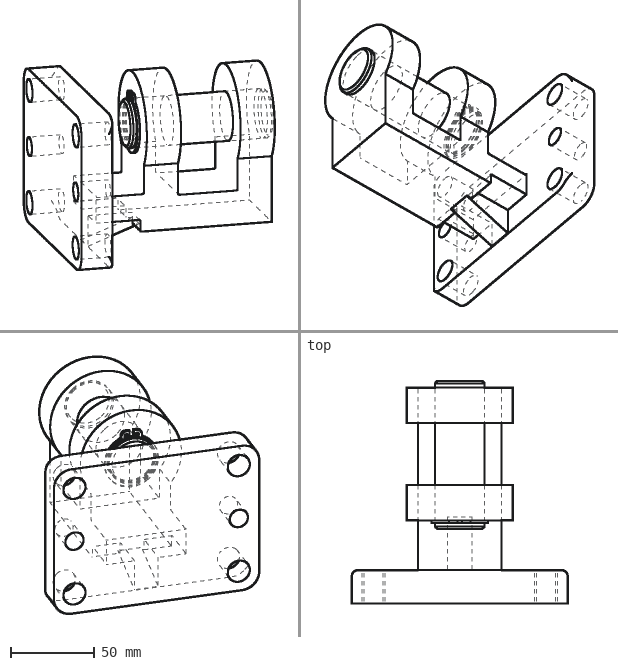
import cadquery as cq
import math

PLATE_WIDTH = 130.0
PLATE_HEIGHT = 96.0
PLATE_THICKNESS = 20.1
PLATE_CORNER_RADIUS = 11.0
PLATE_EDGE_RADIUS = 3.6
HOLE_SPACING_X = 104.0
HOLE_SPACING_Z = 70.1
CORNER_HOLE_DIAMETER = 14.0
MIDDLE_HOLE_DIAMETER = 11.5

ARM_WIDTH = 50.2
ARM_END_Y = 130.0
ARM_BOTTOM_Z = 12.0
LUG_THICKNESS = 21.5
LUG_RADIUS = 32.0
NEAR_LUG_Y = 50.0
SADDLE_Z = 33.4
NECK_TOP_Z = 35.5
NECK_BOTTOM_Z = 19.5
STEP_Y = 47.8
ARM_FILLET = 1.0

GUSSET_WIDTH = 15.0
GUSSET_END_Y = 52.1
GUSSET_FOOT_Z = 0.4

PIN_DIAMETER = 30.0
PIN_START_Y = 44.9
PIN_END_Y = 134.0
PIN_CHAMFER = 1.5
PIN_Z = 73.0
GROOVE_DIAMETER = 28.5

RING_THICKNESS = 1.6
RING_OUTER_RADIUS = 16.9
RING_OFFSET = 1.1
RING_GAP = 2.5
EAR_DIAMETER = 6.0
EAR_HOLE_DIAMETER = 2.0
EAR_X = 3.5
EAR_HEIGHT = 16.3
EAR_ROOT_FILLET = 2.4

RING_START_Y = NEAR_LUG_Y - RING_THICKNESS


def front_plane(y):
    """Sketch plane facing -Y with its origin on the part's centre line at z = 0."""
    return cq.Workplane("XZ", origin=(0, y, 0))


def disc(radius, start_y, end_y, z=PIN_Z, x=0.0):
    """Cylinder along Y between two Y positions."""
    return front_plane(end_y).center(x, z).circle(radius).extrude(end_y - start_y)


def side_prism(outline, width):
    """Prism of a YZ outline, centred on x = 0."""
    return outline.extrude(width / 2, both=True)


def make_plate():
    size = (PLATE_WIDTH, PLATE_THICKNESS, PLATE_HEIGHT)
    plate = cq.Workplane("XY").box(*size, centered=(True, False, False))
    rounded = plate.edges("|Y").fillet(PLATE_CORNER_RADIUS)
    eased = plate.faces(">Y").edges("|Z").fillet(PLATE_EDGE_RADIUS)
    plate = rounded.intersect(eased)
    for side in (-1, 1):
        for row in (-1, 0, 1):
            diameter = CORNER_HOLE_DIAMETER if row else MIDDLE_HOLE_DIAMETER
            x = side * HOLE_SPACING_X / 2
            z = PLATE_HEIGHT / 2 + row * HOLE_SPACING_Z / 2
            plate = plate.cut(disc(diameter / 2, 0, PLATE_THICKNESS, z, x))
    return plate


def make_arm():
    """Fork-shaped arm, its lugs reaching up to the pin axis."""
    near_inner_y = NEAR_LUG_Y + LUG_THICKNESS
    far_inner_y = ARM_END_Y - LUG_THICKNESS
    outline = (
        cq.Workplane("YZ")
        .moveTo(0, NECK_BOTTOM_Z)
        .lineTo(STEP_Y, NECK_BOTTOM_Z)
        .lineTo(STEP_Y, ARM_BOTTOM_Z)
        .lineTo(ARM_END_Y, ARM_BOTTOM_Z)
        .lineTo(ARM_END_Y, PIN_Z)
        .lineTo(far_inner_y, PIN_Z)
        .lineTo(far_inner_y, SADDLE_Z)
        .lineTo(near_inner_y, SADDLE_Z)
        .lineTo(near_inner_y, PIN_Z)
        .lineTo(NEAR_LUG_Y, PIN_Z)
        .lineTo(NEAR_LUG_Y, NECK_TOP_Z)
        .lineTo(0, NECK_TOP_Z)
        .close()
    )
    below_lugs = cq.selectors.BoxSelector(
        (-ARM_WIDTH, PLATE_THICKNESS, 0),
        (ARM_WIDTH, ARM_END_Y, PIN_Z - ARM_FILLET),
    )
    arm = side_prism(outline, ARM_WIDTH)
    return arm.edges("|X").edges(below_lugs).fillet(ARM_FILLET)


def make_gusset():
    outline = (
        cq.Workplane("YZ")
        .moveTo(PLATE_THICKNESS, GUSSET_FOOT_Z)
        .lineTo(GUSSET_END_Y, ARM_BOTTOM_Z)
        .lineTo(GUSSET_END_Y, NECK_BOTTOM_Z)
        .lineTo(PLATE_THICKNESS, NECK_BOTTOM_Z)
        .close()
    )
    return side_prism(outline, GUSSET_WIDTH)


def make_bracket():
    bracket = make_plate().union(make_arm())
    root = cq.selectors.BoxSelector(
        (-1.3, PLATE_THICKNESS - ARM_FILLET, NECK_TOP_Z - ARM_FILLET),
        (1.3, PLATE_THICKNESS + ARM_FILLET, NECK_TOP_Z + ARM_FILLET),
    )
    bracket = bracket.edges("|X").edges(root).fillet(ARM_FILLET)
    bracket = bracket.union(make_gusset())
    for start_y in (NEAR_LUG_Y, ARM_END_Y - LUG_THICKNESS):
        bracket = bracket.union(disc(LUG_RADIUS, start_y, start_y + LUG_THICKNESS))
    return bracket.cut(disc(PIN_DIAMETER / 2, NEAR_LUG_Y, ARM_END_Y))


def make_pin():
    pin = disc(PIN_DIAMETER / 2, PIN_START_Y, PIN_END_Y)
    pin = pin.faces("<Y or >Y").chamfer(PIN_CHAMFER)
    groove = disc(PIN_DIAMETER, RING_START_Y, NEAR_LUG_Y)
    groove = groove.cut(disc(GROOVE_DIAMETER / 2, RING_START_Y, NEAR_LUG_Y))
    return pin.cut(groove)


def make_ring():
    """Open ring with a drilled ear on each side of the gap."""
    span = (RING_START_Y, NEAR_LUG_Y)
    ear_radius = EAR_DIAMETER / 2
    ear_z = PIN_Z + EAR_HEIGHT
    ring = disc(RING_OUTER_RADIUS, *span, z=PIN_Z - RING_OFFSET)
    for side in (-1, 1):
        ring = ring.union(disc(ear_radius, *span, z=ear_z, x=side * EAR_X))
    bridge = (
        front_plane(NEAR_LUG_Y)
        .center(0, (PIN_Z + ear_z + ear_radius) / 2)
        .rect(2 * EAR_X, EAR_HEIGHT + ear_radius)
        .extrude(RING_THICKNESS)
    )
    ring = ring.union(bridge)

    rise = EAR_HEIGHT + RING_OFFSET
    distance = math.hypot(EAR_X, rise)
    cosine = (RING_OUTER_RADIUS**2 + distance**2 - ear_radius**2) / (2 * RING_OUTER_RADIUS * distance)
    root_angle = math.atan2(EAR_X, rise) + math.acos(cosine)
    root_z = PIN_Z - RING_OFFSET + RING_OUTER_RADIUS * math.cos(root_angle)
    for side in (-1, 1):
        root_x = side * RING_OUTER_RADIUS * math.sin(root_angle)
        root = cq.selectors.NearestToPointSelector((root_x, sum(span) / 2, root_z))
        ring = ring.edges("|Y").edges(root).fillet(EAR_ROOT_FILLET)

    ring = ring.cut(disc(GROOVE_DIAMETER / 2, *span))
    gap = (
        front_plane(NEAR_LUG_Y)
        .center(0, PIN_Z + LUG_RADIUS / 2)
        .rect(RING_GAP, LUG_RADIUS)
        .extrude(RING_THICKNESS)
    )
    ring = ring.cut(gap)
    for side in (-1, 1):
        ring = ring.cut(disc(EAR_HOLE_DIAMETER / 2, *span, z=ear_z, x=side * EAR_X))
    return ring


bracket = make_bracket()
pin = make_pin()
ring = make_ring()

result = cq.Compound.makeCompound([bracket.val(), pin.val(), ring.val()])